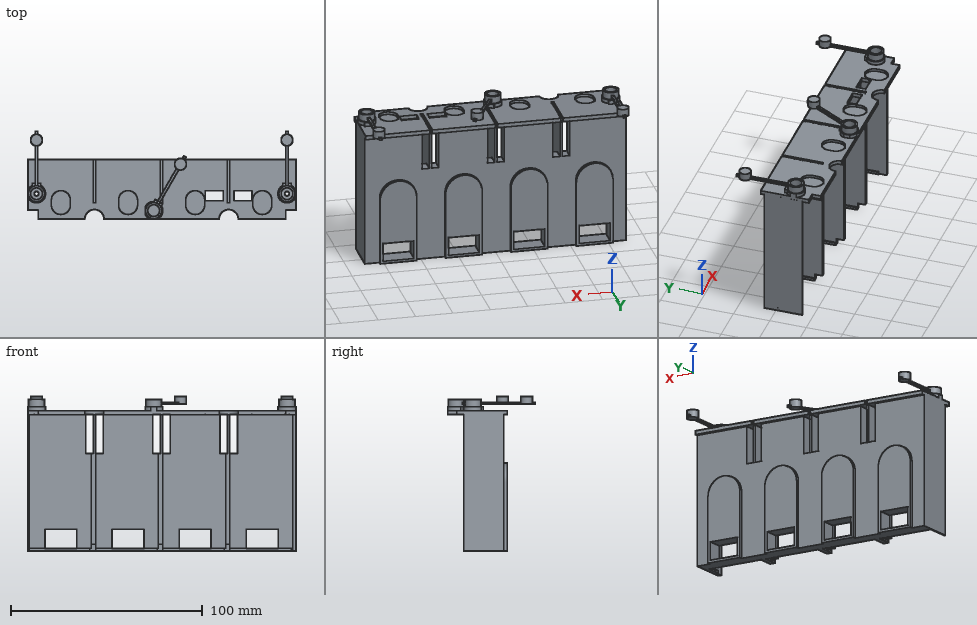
import cadquery as cq

length = 139.7
bay_count = 4
first_bay_x = 17.2
last_bay_x = 122.1
bay_pitch = (last_bay_x - first_bay_x) / (bay_count - 1)

lid_bottom = 71.1
lid_top = 73.2
lid_depth = 31.2
corner_notch_width = 5.3
corner_notch_depth = 4.7
scallop_diameter = 9.9

body_front = 8.4
body_back = 29.3
back_wall_front = 22.6
left_wall_thickness = 0.7
right_wall_thickness = 1.8
divider_thickness = 2.2
rib_thickness = 1.3
first_rib_x = 34.6

floor_thickness = 1.4
floor_front = 21.5
ledge_width = 0.7
foot_notch_back = 12.6
foot_notch_height = 3.6

lower_window_width = 16.5
lower_window_top = 11.3
upper_window_width = 9.0
upper_window_bottom = 50.9

pad_radius = 9.8
pad_top = 46.0

pocket_width = 9.9
pocket_length = 12.5
pocket_depth = 1.4
pocket_y = 8.7
groove_front = 8.7
groove_depth = 1.4
port_width = 9.2
port_front = 9.6
port_depth = 5.2
port_spacing = 15.0

flange_radius = 4.7
flange_flat_distance = 4.5
flange_height = 2.1
neck_radius = 4.2
neck_top = 79.1
bore_radius = 3.1
vent_radius = 1.1
tab_width = 4.5
tab_reach = 5.5
strap_width = 1.4
strap_bottom = 76.5
strap_thickness = 1.0
strap_start = 3.6
strap_reach = 32.5
cap_distance = 28.0
cap_radius = 3.1
cap_top = 80.6
end_neck_y = 13.3
left_neck_x = flange_flat_distance
right_neck_x = 135.0
middle_neck_x = 65.5
middle_neck_y = flange_flat_distance
end_strap_angle = 90
middle_strap_angle = 60

bay_centers = [first_bay_x + i * bay_pitch for i in range(bay_count)]
rib_centers = [first_rib_x + i * bay_pitch for i in range(bay_count - 1)]
divider_rights = [x + rib_thickness / 2 for x in rib_centers]


def block(x0, x1, y0, y1, z0, z1):
    """Axis-aligned box between two opposite corners."""
    return cq.Workplane("XY").box(x1 - x0, y1 - y0, z1 - z0, centered=False).translate((x0, y0, z0))


def cylinder(x, y, radius, z0, z1):
    """Upright cylinder between two heights."""
    return cq.Workplane("XY", origin=(x, y, z0)).circle(radius).extrude(z1 - z0)


def make_lid():
    """Lid plate with corner notches, scallops, blind pockets, ports and grooves above the ribs."""
    lid = block(0, length, 0, lid_depth, lid_bottom, lid_top)
    for x0 in (0, length - corner_notch_width):
        lid = lid.cut(block(x0, x0 + corner_notch_width, 0, corner_notch_depth, lid_bottom, lid_top))
    for x in (rib_centers[0], rib_centers[-1]):
        lid = lid.cut(cylinder(x, 0, scallop_diameter / 2, lid_bottom, lid_top))
    pockets = (
        cq.Workplane("XY", origin=(0, pocket_y, lid_top))
        .pushPoints([(x, 0) for x in bay_centers])
        .slot2D(pocket_length, pocket_width, 90)
        .extrude(-pocket_depth)
    )
    lid = lid.cut(pockets)
    for side in (-1, 1):
        x0 = rib_centers[-1] + side * port_spacing / 2 - port_width / 2
        lid = lid.cut(block(x0, x0 + port_width, port_front, port_front + port_depth, lid_bottom, lid_top))
    for x in rib_centers:
        half = rib_thickness / 2
        lid = lid.cut(block(x - half, x + half, groove_front, lid_depth, lid_top - groove_depth, lid_top))
    return lid


def make_divider(right):
    """Partition, thinned to a rib at the top and notched at its front foot."""
    left = right - divider_thickness
    divider = block(left, right, body_front, body_back, 0, upper_window_bottom)
    divider = divider.cut(block(left, right, body_front, foot_notch_back, 0, foot_notch_height))
    rib = block(right - rib_thickness, right, body_front, body_back, upper_window_bottom, lid_bottom)
    return divider.union(rib)


def make_body():
    """Side walls, dividers, floor, ledges and the windowed back wall with pads."""
    right_wall_x = length - right_wall_thickness
    back = block(left_wall_thickness, right_wall_x, back_wall_front, body_back, 0, lid_bottom)
    for x in rib_centers:
        half = upper_window_width / 2
        window = block(x - half, x + half, back_wall_front, body_back, upper_window_bottom, lid_bottom)
        back = back.cut(window)
    back = back.union(block(left_wall_thickness, right_wall_x, floor_front, body_back, 0, floor_thickness))
    for x in bay_centers:
        pad_shoulder = pad_top - pad_radius
        pad = block(x - pad_radius, x + pad_radius, body_back, lid_depth, 0, pad_shoulder)
        arch = (
            cq.Workplane("XZ", origin=(x, lid_depth, pad_shoulder))
            .circle(pad_radius)
            .extrude(lid_depth - body_back)
        )
        half = lower_window_width / 2
        window = block(x - half, x + half, back_wall_front, lid_depth, floor_thickness, lower_window_top)
        back = back.union(pad).union(arch).cut(window)

    body = back.union(block(0, left_wall_thickness, body_front, body_back, 0, lid_bottom))
    body = body.union(block(right_wall_x, length, body_front, body_back, 0, lid_bottom))
    for right in divider_rights:
        body = body.union(make_divider(right))
    for x in [right - divider_thickness for right in divider_rights] + [right_wall_x]:
        body = body.union(block(x - ledge_width, x, foot_notch_back, floor_front, 0, floor_thickness))
    return body


def make_neck(x, y, strap_angle, flat_angles):
    """Flanged neck with a tethered cap; the strap and the flange flats face angles from +X."""
    flange_top = lid_top + flange_height
    neck = cylinder(0, 0, flange_radius, lid_top, flange_top)
    for angle in flat_angles:
        trim = block(flange_flat_distance, flange_radius, -flange_radius, flange_radius, lid_top, flange_top)
        neck = neck.cut(trim.rotate((0, 0, 0), (0, 0, 1), angle - strap_angle))
    neck = neck.union(block(0, tab_reach, -tab_width / 2, tab_width / 2, lid_top, flange_top))
    neck = neck.union(cylinder(0, 0, neck_radius, lid_top, neck_top))
    strap_top = strap_bottom + strap_thickness
    neck = neck.union(
        block(strap_start, strap_reach, -strap_width / 2, strap_width / 2, strap_bottom, strap_top)
    )
    neck = neck.union(cylinder(cap_distance, 0, cap_radius, strap_bottom, cap_top))
    neck = neck.cut(cylinder(0, 0, bore_radius, lid_top, neck_top))
    return neck.rotate((0, 0, 0), (0, 0, 1), strap_angle).translate((x, y, 0))


result = make_lid().union(make_body())

for x, flat_angles in ((left_neck_x, (180,)), (right_neck_x, ())):
    result = result.union(make_neck(x, end_neck_y, end_strap_angle, flat_angles))
    result = result.cut(cylinder(x, end_neck_y, vent_radius, lid_bottom, lid_top))
result = result.union(make_neck(middle_neck_x, middle_neck_y, middle_strap_angle, (180, 270)))